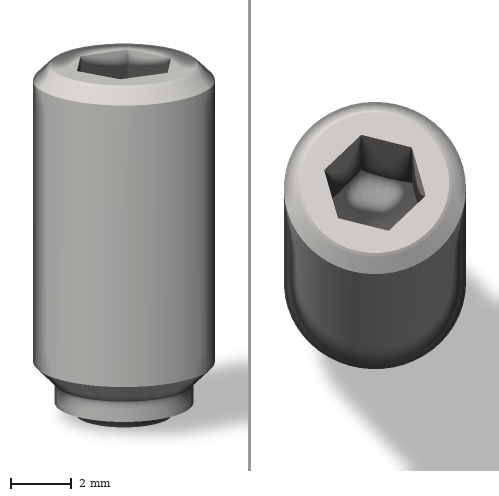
import cadquery as cq
import math

total_height = 12.0
screw_radius = 3.0

top_chamfer = 0.45
top_bevel_width = 0.1
top_bevel_height = 0.07

lower_chamfer = 0.71
neck_height = 0.7

socket_flats = 3.0
socket_depth = 3.6
drill_point_angle = 120.0

ball_radius = 2.1
flat_radius = 1.58
ball_protrusion = 0.4

neck_radius = screw_radius - lower_chamfer
neck_top = ball_protrusion + neck_height
bevel_radius = screw_radius - top_chamfer
bevel_bottom = total_height - top_bevel_height
ball_center = math.sqrt(ball_radius**2 - flat_radius**2)
socket_diameter = socket_flats / math.cos(math.radians(30))
drill_point_depth = socket_diameter / 2 / math.tan(math.radians(drill_point_angle / 2))


def make_ball():
    """Ball cut off by a flat at Z = 0, turned about Z."""
    half_section = (
        cq.Workplane("XZ")
        .lineTo(flat_radius, 0)
        .threePointArc((ball_radius, ball_center), (0, ball_center + ball_radius))
        .close()
    )
    return half_section.revolve(360, (0, 0, 0), (0, 1, 0))


def make_blank():
    """Turned outside of the screw."""
    half_section = cq.Workplane("XZ").polyline([
        (0, ball_protrusion),
        (neck_radius, ball_protrusion),
        (neck_radius, neck_top),
        (screw_radius, neck_top + lower_chamfer),
        (screw_radius, bevel_bottom - top_chamfer),
        (bevel_radius, bevel_bottom),
        (bevel_radius - top_bevel_width, total_height),
        (0, total_height),
    ]).close()
    return half_section.revolve(360, (0, 0, 0), (0, 1, 0))


def make_socket():
    """Hexagonal recess with two corners on the X axis and a conical bottom."""
    floor = total_height - socket_depth
    hexagon = (
        cq.Workplane("XY")
        .workplane(offset=floor)
        .polygon(6, socket_diameter)
        .extrude(socket_depth)
    )
    drill_point = cq.Workplane(
        cq.Solid.makeCone(
            socket_diameter / 2, 0, drill_point_depth,
            pnt=cq.Vector(0, 0, floor), dir=cq.Vector(0, 0, -1),
        )
    )
    hexagon_below = hexagon.translate((0, 0, -socket_depth))
    return hexagon.union(drill_point.intersect(hexagon_below))


ball = make_ball()
screw = make_blank().cut(make_socket()).cut(ball)

result = cq.Compound.makeCompound([screw.val(), ball.val()])